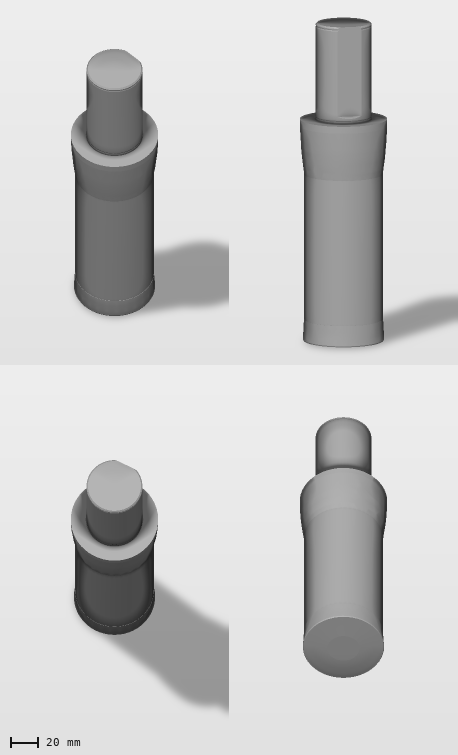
import cadquery as cq

total_height = 232.0
rod_stroke = 70.0
housing_height = total_height - rod_stroke

head_diameter = 62.5
tube_diameter = 56.2
foot_diameter = 58.1
rim_height = 5.0
head_height = 40.0
head_bulge = 0.55
foot_top_diameter = 56.6
foot_top = 16.5
foot_chamfer_width = 0.4
foot_chamfer_height = 0.8
base_cone_height = 1.1
base_flat_diameter = 23.0
mouth_diameter = 41.2
mouth_chamfer = 0.6

rod_diameter = 39.99
rod_depth = head_height
rod_chamfer_height = 1.0
rod_chamfer_width = 1.0
groove_diameter = 39.5
groove_width = 1.5
top_groove_gap = 1.5
base_groove_gap = 0.65
flat_distance = 18.0
flat_start = 3.5
flat_run_out = 1.5


def make_housing():
    head_radius = head_diameter / 2
    tube_radius = tube_diameter / 2
    foot_radius = foot_diameter / 2
    body = (
        cq.Workplane("XZ")
        .moveTo(0, 0)
        .lineTo(base_flat_diameter / 2, 0)
        .lineTo(foot_radius - foot_chamfer_width, base_cone_height)
        .lineTo(foot_radius, base_cone_height + foot_chamfer_height)
        .lineTo(foot_top_diameter / 2, foot_top)
        .lineTo(tube_radius, foot_top)
        .lineTo(tube_radius, housing_height - head_height)
        .sagittaArc((head_radius, housing_height - rim_height), -head_bulge)
        .lineTo(head_radius, housing_height)
        .lineTo(0, housing_height)
        .close()
        .revolve(360, (0, 0, 0), (0, 1, 0))
    )
    rod_radius = rod_diameter / 2
    bore = (
        cq.Workplane("XZ")
        .moveTo(0, housing_height - rod_depth)
        .lineTo(rod_radius, housing_height - rod_depth)
        .lineTo(rod_radius, housing_height - mouth_chamfer)
        .lineTo(mouth_diameter / 2, housing_height)
        .lineTo(0, housing_height)
        .close()
        .revolve(360, (0, 0, 0), (0, 1, 0))
    )
    return body.cut(bore)


def make_groove(bottom):
    """Ring that cuts a V groove into the rod above the given height."""
    rod_radius = rod_diameter / 2
    return (
        cq.Workplane("XZ")
        .moveTo(rod_radius, bottom)
        .lineTo(groove_diameter / 2, bottom + groove_width / 2)
        .lineTo(rod_radius, bottom + groove_width)
        .close()
        .revolve(360, (0, 0, 0), (0, 1, 0))
    )


def make_flat_cutter():
    """Block that cuts the flat, with a sloped run-out at its lower end."""
    start = housing_height + flat_start
    outside = rod_diameter
    rod_radius = rod_diameter / 2
    return (
        cq.Workplane("YZ")
        .moveTo(flat_distance, total_height)
        .lineTo(flat_distance, start + flat_run_out)
        .lineTo(rod_radius, start)
        .lineTo(outside, start)
        .lineTo(outside, total_height)
        .close()
        .extrude(rod_radius, both=True)
    )


def make_rod():
    rod_radius = rod_diameter / 2
    rod = (
        cq.Workplane("XZ")
        .moveTo(0, housing_height - rod_depth)
        .lineTo(rod_radius, housing_height - rod_depth)
        .lineTo(rod_radius, total_height - rod_chamfer_height)
        .lineTo(rod_radius - rod_chamfer_width, total_height)
        .lineTo(0, total_height)
        .close()
        .revolve(360, (0, 0, 0), (0, 1, 0))
    )
    groove_bottoms = (
        housing_height + base_groove_gap,
        total_height - top_groove_gap - groove_width,
    )
    for bottom in groove_bottoms:
        rod = rod.cut(make_groove(bottom))
    return rod.cut(make_flat_cutter())


housing = make_housing()
rod = make_rod()
result = cq.Compound.makeCompound([housing.val(), rod.val()])